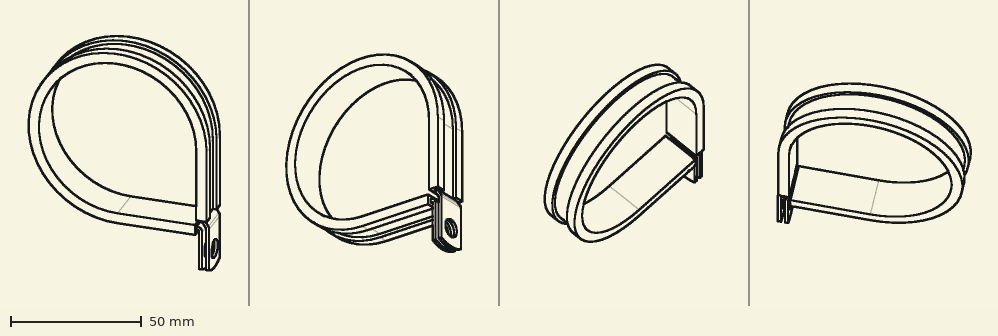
import cadquery as cq
import math

loop_radius = 35.95
cushion_thickness = 4.2
cushion_width = 15.7
groove_depth = 1.5
groove_width = 7.7
flat_arm_end_x = 31.3
upright_arm_end_z = -29.8

strap_thickness = 1.3
strap_width = 12.6
strap_radius = loop_radius - groove_depth
strap_inner_radius = strap_radius - strap_thickness
bend_inner_radius = 0.7
bend_outer_radius = bend_inner_radius + strap_thickness

tab_bottom_z = -52.4
tab_end_rise = 1.4
tab_gap = 1.5
outer_tab_x = 36.5
inner_tab_x = outer_tab_x - strap_thickness - tab_gap
jog_angle = 34
hole_diameter = 7.2
hole_z = -44.5

strap_embed = 1.8


def extrude_centred(sketch, width):
    return sketch.extrude(width / 2, both=True)


def loop_section(radius):
    """Solid teardrop: three quarters of a circle plus a square corner."""
    return (
        cq.Workplane("XZ")
        .moveTo(0, -radius)
        .threePointArc((-radius * math.sqrt(0.5), radius * math.sqrt(0.5)), (radius, 0))
        .lineTo(radius, -radius)
        .close()
    )


def loop_band(outer_radius, inner_radius, width):
    """Band of even thickness, open at the lower right corner."""
    band = extrude_centred(loop_section(outer_radius), width)
    bore = extrude_centred(loop_section(inner_radius), width)
    cutter_size = 2 * loop_radius
    open_corner = (
        cq.Workplane("XY")
        .box(cutter_size, width, cutter_size, centered=(False, True, False))
        .translate((flat_arm_end_x, 0, upright_arm_end_z - cutter_size))
    )
    return band.cut(bore).cut(open_corner)


def cushion():
    body = loop_band(loop_radius, loop_radius - cushion_thickness, cushion_width)
    groove = loop_band(loop_radius, strap_radius, groove_width)
    return body.cut(groove)


def inner_tab():
    """Strap leaving the flat arm and bending straight down."""
    tab = extrude_centred(
        cq.Workplane("XZ").polyline([
            (flat_arm_end_x - strap_embed, -strap_inner_radius),
            (inner_tab_x, -strap_inner_radius),
            (inner_tab_x, tab_bottom_z),
            (inner_tab_x - strap_thickness, tab_bottom_z),
            (inner_tab_x - strap_thickness, -strap_radius),
            (flat_arm_end_x - strap_embed, -strap_radius),
        ]).close(),
        strap_width,
    )
    outside_corner = cq.NearestToPointSelector((inner_tab_x, 0, -strap_inner_radius))
    inside_corner = cq.NearestToPointSelector((inner_tab_x - strap_thickness, 0, -strap_radius))
    tab = tab.edges("|Y").edges(outside_corner).fillet(bend_outer_radius)
    return tab.edges("|Y").edges(inside_corner).fillet(bend_inner_radius)


def outer_tab():
    """Strap leaving the vertical arm and jogging outward before running down."""
    jog_slope = math.radians(jog_angle)
    jog_drop = (outer_tab_x - strap_radius) / math.tan(jog_slope)
    mitre_drop = strap_thickness * math.tan(jog_slope / 2)
    jog_end_z = upright_arm_end_z - jog_drop
    tab = extrude_centred(
        cq.Workplane("XZ").polyline([
            (strap_radius, upright_arm_end_z + strap_embed),
            (strap_radius, upright_arm_end_z),
            (outer_tab_x, jog_end_z),
            (outer_tab_x, tab_bottom_z),
            (outer_tab_x - strap_thickness, tab_bottom_z),
            (outer_tab_x - strap_thickness, jog_end_z - mitre_drop),
            (strap_inner_radius, upright_arm_end_z - mitre_drop),
            (strap_inner_radius, upright_arm_end_z + strap_embed),
        ]).close(),
        strap_width,
    )
    outside_corner = cq.NearestToPointSelector((outer_tab_x, 0, jog_end_z))
    inside_corner = cq.NearestToPointSelector(
        (outer_tab_x - strap_thickness, 0, jog_end_z - mitre_drop)
    )
    tab = tab.edges("|Y").edges(outside_corner).fillet(bend_outer_radius)
    return tab.edges("|Y").edges(inside_corner).fillet(bend_inner_radius)


def tab_outline():
    """Block with the rounded tab end and bolt hole, used to trim both tabs."""
    half_width = strap_width / 2
    shoulder_z = tab_bottom_z + tab_end_rise
    block = (
        cq.Workplane("YZ")
        .moveTo(-half_width, 0)
        .lineTo(-half_width, shoulder_z)
        .threePointArc((0, tab_bottom_z), (half_width, shoulder_z))
        .lineTo(half_width, 0)
        .close()
        .extrude(2 * loop_radius)
    )
    hole = (
        cq.Workplane("YZ")
        .center(0, hole_z)
        .circle(hole_diameter / 2)
        .extrude(2 * loop_radius)
    )
    return block.cut(hole)


tabs = inner_tab().union(outer_tab()).intersect(tab_outline())
result = cushion().union(tabs)